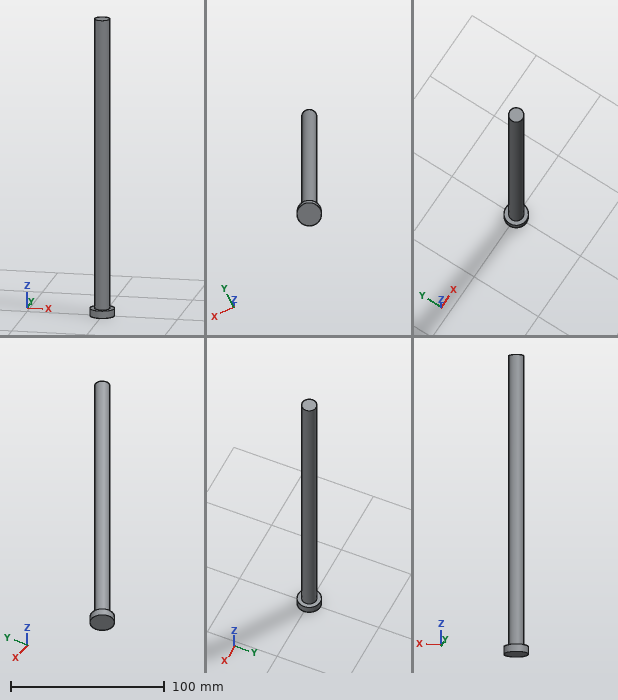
import cadquery as cq

total_length = 200.0
head_diameter = 16.0
head_height = 5.0
shank_diameter = 10.0

head = cq.Workplane("XY").circle(head_diameter / 2).extrude(head_height)
shank = cq.Workplane("XY").circle(shank_diameter / 2).extrude(total_length)

result = head.union(shank)